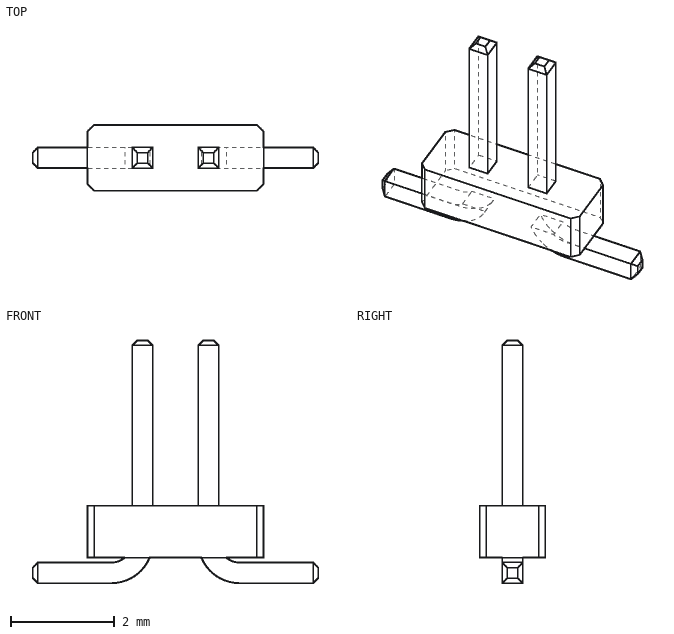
import cadquery as cq

overall_length = 5.5
overall_height = 4.68
pitch = 1.27
pin_size = 0.4
bend_inner_radius = 0.4
tip_chamfer = 0.1

body_length = 3.4
body_height = 1.0
body_bottom = 0.495
body_corner_chamfer = 0.13


def make_body():
    """Insulating block with chamfered vertical corners."""
    block = cq.Workplane("XY").workplane(offset=body_bottom)
    block = block.box(body_length, pitch, body_height, centered=(True, True, False))
    return block.edges("|Z").chamfer(body_corner_chamfer)


def make_right_pin():
    """Square wire pin: horizontal foot toward +X, bend, then upright post."""
    outer_x = pitch / 2 - pin_size / 2
    inner_x = outer_x + pin_size
    foot_end = overall_length / 2
    bend_outer_radius = bend_inner_radius + pin_size
    bend_x = inner_x + bend_inner_radius
    bend_z = bend_outer_radius
    pin = (
        cq.Workplane("XZ")
        .moveTo(foot_end, 0)
        .lineTo(bend_x, 0)
        .radiusArc((outer_x, bend_z), bend_outer_radius)
        .lineTo(outer_x, overall_height)
        .lineTo(inner_x, overall_height)
        .lineTo(inner_x, bend_z)
        .radiusArc((bend_x, pin_size), -bend_inner_radius)
        .lineTo(foot_end, pin_size)
        .close()
        .extrude(pin_size / 2, both=True)
    )
    pin = pin.faces(">Z").chamfer(tip_chamfer)
    return pin.faces(">X").chamfer(tip_chamfer)


right_pin = make_right_pin()
left_pin = right_pin.mirror("YZ")
result = make_body().union(right_pin).union(left_pin)